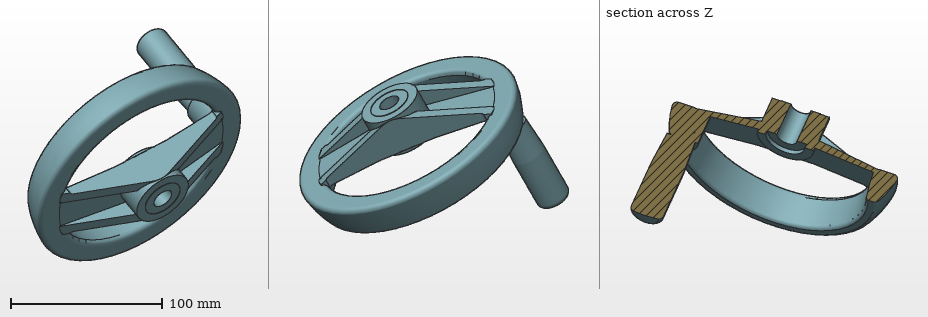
import cadquery as cq
import math


rim_radius = 80.0
rim_width = 25.3
rim_front_fillet_radius = 74.5
rim_front_fillet_depth = 2.2
rim_front_outer = 72.0
rim_front_inner = 67.6
rim_bore_front = 65.4
rim_bore_rear = 62.7
rim_bore_front_fillet = 3.0
rim_edge = 3.5
rim_bulge = 0.8

spoke_width = 40.8
spoke_corner = 2.5
spoke_flare = 1.6
web_end_radius = 66.3
front_flat_x = 24.8
front_flat_half = 20.1
front_slope = 0.08
rear_apex_x = 51.0
rear_slope = 0.4
rear_ridge_radius = 17.6

pocket_width = 25.3
pocket_floor_x = 31.5
pocket_floor_slope = 0.15

hub_diameter = spoke_width
hub_rear_x = 50.8
hub_pad_diameter = 27.3
hub_pad_height = 0.3
front_boss_diameter = 40.3
front_boss_height = 2.2
recess_diameter = 27.3
recess_depth = 3.0
bore_diameter = 14.0

handle_y = 65.0
handle_length = 64.9
handle_radius = 11.5
handle_base_radius = 10.0
handle_taper_length = 24.6
handle_shoulder = 3.7
handle_dome_radius = 9.1
handle_dome_height = 0.6
seat_y = 70.7
seat_radius = 17.6


def revolve_about_x(sketch):
    return sketch.close().revolve(360, (0, 0, 0), (1, 0, 0))


def x_cylinder(diameter, x_start, x_end, y=0.0):
    plane = cq.Workplane("YZ", origin=(x_start, y, 0))
    return plane.circle(diameter / 2).extrude(x_end - x_start)


def rim_outer_side(sketch):
    """Continue a profile from the front face round the outside to the rear face."""
    side_start = (rim_front_fillet_depth, rim_front_fillet_radius)
    side_end = (rim_width - rim_edge, rim_radius)
    side_middle = (
        (side_start[0] + side_end[0]) / 2,
        (side_start[1] + side_end[1]) / 2 + rim_bulge,
    )
    return (
        sketch
        .lineTo(0, rim_front_outer)
        .radiusArc(side_start, rim_edge)
        .threePointArc(side_middle, side_end)
        .radiusArc((rim_width, rim_radius - rim_edge), rim_edge)
    )


def make_rim():
    sketch = rim_outer_side(cq.Workplane("XY").moveTo(0, rim_front_inner))
    sketch = (
        sketch.lineTo(rim_width, rim_bore_rear + rim_edge)
        .radiusArc((rim_width - rim_edge, rim_bore_rear), rim_edge)
        .lineTo(rim_bore_front_fillet, rim_bore_front)
        .radiusArc((0, rim_front_inner), rim_bore_front_fillet)
    )
    return revolve_about_x(sketch)


def make_handle_seat():
    envelope = rim_outer_side(cq.Workplane("XY")).lineTo(rim_width, 0)
    return x_cylinder(2 * seat_radius, 0, front_flat_x, seat_y).intersect(revolve_about_x(envelope))


def make_window(side):
    """Opening between one straight spoke edge and the rim, with rounded corners."""
    edge_z = side * spoke_width / 2
    edge_y = math.sqrt(rim_bore_rear**2 - edge_z**2)
    return (
        cq.Workplane("YZ")
        .moveTo(-edge_y, edge_z)
        .threePointArc((0, side * rim_bore_rear), (edge_y, edge_z))
        .close()
        .extrude(hub_rear_x)
        .edges("|X")
        .fillet(spoke_corner)
    )


def make_web():
    end_y = web_end_radius
    front_end_x = front_flat_x - front_slope * (end_y - front_flat_half)
    rear_end_x = rear_apex_x - rear_slope * end_y
    web = (
        cq.Workplane("XY")
        .polyline([
            (front_end_x, -end_y),
            (front_flat_x, -front_flat_half),
            (front_flat_x, front_flat_half),
            (front_end_x, end_y),
            (rear_end_x, end_y),
            (rear_apex_x, 0),
            (rear_end_x, -end_y),
        ])
        .close()
        .extrude(spoke_width / 2 + spoke_flare, both=True)
        .edges(">X")
        .fillet(rear_ridge_radius)
    )
    web = web.intersect(x_cylinder(2 * web_end_radius, 0, hub_rear_x))
    for side in (-1, 1):
        web = web.cut(make_window(side)).cut(make_pocket(side))
    return web


def make_pocket(side):
    hub_radius = hub_diameter / 2
    floor_center_x = pocket_floor_x + pocket_floor_slope * hub_radius
    floor_end_x = floor_center_x - pocket_floor_slope * web_end_radius
    return (
        cq.Workplane("XY")
        .polyline([
            (floor_center_x, 0),
            (floor_end_x, side * web_end_radius),
            (hub_rear_x, side * web_end_radius),
            (hub_rear_x, 0),
        ])
        .close()
        .extrude(pocket_width / 2, both=True)
    )


def make_handle():
    dome_edge_x = handle_dome_height - handle_length
    shoulder_x = handle_shoulder - handle_length
    dome_sphere_radius = (handle_dome_radius**2 + handle_dome_height**2) / (2 * handle_dome_height)
    sketch = (
        cq.Workplane("XY")
        .moveTo(-handle_length, 0)
        .radiusArc((dome_edge_x, handle_dome_radius), dome_sphere_radius)
        .radiusArc((shoulder_x, handle_radius), handle_shoulder)
        .lineTo(-handle_taper_length, handle_radius)
        .lineTo(0, handle_base_radius)
        .lineTo(0, 0)
    )
    return revolve_about_x(sketch).translate((0, handle_y, 0))


boss_x = front_flat_x - front_boss_height
hub = x_cylinder(hub_diameter, front_flat_x, hub_rear_x)
hub_pad = x_cylinder(hub_pad_diameter, hub_rear_x, hub_rear_x + hub_pad_height)
front_boss = x_cylinder(front_boss_diameter, boss_x, front_flat_x)
recess = x_cylinder(recess_diameter, boss_x, boss_x + recess_depth)
bore = x_cylinder(bore_diameter, boss_x, hub_rear_x + hub_pad_height)

result = make_web().union(hub).union(hub_pad).union(front_boss).cut(recess).cut(bore)
result = result.union(make_rim()).union(make_handle_seat()).union(make_handle())